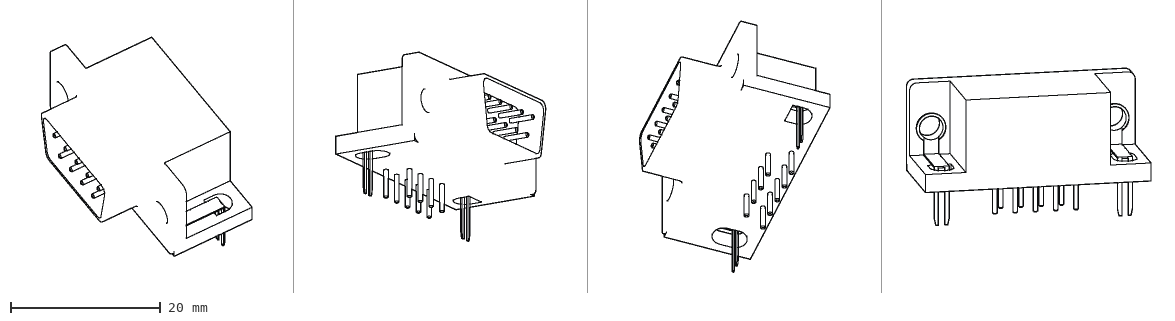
import cadquery as cq
import math


width = 30.8
height = 12.5
depth = 12.6
plate_thickness = 0.3
shoulder_y = 2.22
block_width = 19.75
foot_height = 2.5
corner_radius = 1.0
plate_edge_radius = 0.1

shroud_length = 5.84
shroud_height = 8.3
shroud_mid_width = 15.52
shroud_wall = 0.5
shroud_side_angle = math.radians(10)
shroud_corner_radius = 1.0
shroud_root_radius = 0.62
shroud_tip_radius = 0.07
root_zone_margin = 0.5
cavity_floor_y = -1.97

pin_diameter = 0.64
pin_tip_chamfer = 0.15
pin_pitch = 2.77
row_spacing = 2.84
upper_row_count = 5
lower_row_count = 4
contact_tip_y = -5.6
tail_length = 3.9
tail_embedding = 1.0
tail_to_back = 1.85
upper_row_tail_y = depth - tail_to_back
lower_row_tail_y = upper_row_tail_y - row_spacing

hole_offset = 12.5
hole_diameter = 3.2
eyelet_diameter = 4.0
eyelet_thickness = 0.27
slot_to_back = 1.62
slot_back_y = depth - slot_to_back
slot_straight_length = 1.6
strip_width = 2.04
strip_thickness = 0.2
strip_clearance = 0.18
strip_front_y = shoulder_y + strip_clearance
leg_to_back = 3.14
leg_back_y = depth - leg_to_back
leg_length = 5.4
outer_prong_width = 0.55
prong_gap = 0.87
prong_taper_width = 0.2
prong_taper_height = 0.9

mid_z = height / 2
hole_radius = hole_diameter / 2


def box(x_min, x_max, y_min, y_max, z_min, z_max):
    """Box given by its limits along each axis."""
    size = (x_max - x_min, y_max - y_min, z_max - z_min)
    return cq.Workplane("XY").box(*size, centered=False).translate((x_min, y_min, z_min))


def cylinder_along_y(x, z, diameter, y_min, y_max):
    """Cylinder parallel to Y, at a place in X and Z."""
    plane = cq.Workplane("XZ", origin=(x, y_max, z))
    return plane.circle(diameter / 2).extrude(y_max - y_min)


def make_body():
    """Plastic block with a flange in front and a foot below, L-shaped at both ends."""
    half = width / 2
    flange = box(-half, half, plate_thickness, shoulder_y, 0, height)
    flange = flange.edges("|Y and >Z").fillet(corner_radius)
    foot = box(-half, half, plate_thickness, depth, 0, foot_height)
    block = box(-block_width / 2, block_width / 2, plate_thickness, depth, 0, height)
    return flange.union(foot).union(block)


def make_plate():
    """Thin front plate with rounded corners and a softened front edge."""
    plate = box(-width / 2, width / 2, 0, plate_thickness, 0, height)
    plate = plate.edges("|Y").fillet(corner_radius)
    for side in (-1, 1):
        hole = cylinder_along_y(side * hole_offset, mid_z, hole_diameter, 0, plate_thickness)
        plate = plate.cut(hole)
    return plate.faces("<Y").edges().fillet(plate_edge_radius)


def d_prism(inset, y_min, y_max):
    """D-shaped prism, with its outline moved inwards from the shroud's outer outline."""
    half_height = shroud_height / 2 - inset
    half_mid = shroud_mid_width / 2 - inset / math.cos(shroud_side_angle)
    lean = half_height * math.tan(shroud_side_angle)
    outline = [
        (-half_mid + lean, -half_height),
        (half_mid - lean, -half_height),
        (half_mid + lean, half_height),
        (-half_mid - lean, half_height),
    ]
    prism = cq.Workplane("XZ", origin=(0, y_max, mid_z)).polyline(outline).close()
    return prism.extrude(y_max - y_min).edges("|Y").fillet(shroud_corner_radius)


def make_plate_with_shroud():
    """Front plate and hollow shroud, joined by a flared root."""
    shroud = d_prism(0, -shroud_length, plate_thickness)
    shroud = shroud.faces("<Y").edges().fillet(shroud_tip_radius)
    shell = make_plate().union(shroud)
    half_x = shroud_mid_width / 2 + root_zone_margin
    half_z = shroud_height / 2 + root_zone_margin
    root_zone = cq.selectors.BoxSelector(
        (-half_x, -plate_edge_radius / 2, mid_z - half_z),
        (half_x, plate_edge_radius / 2, mid_z + half_z),
    )
    shell = shell.edges(root_zone).fillet(shroud_root_radius)
    return shell.cut(d_prism(shroud_wall, -shroud_length, cavity_floor_y))


def make_contact(x, z, tail_y):
    """Contact pin in the shroud and the matching tail below the body."""
    pin = cylinder_along_y(x, z, pin_diameter, contact_tip_y, cavity_floor_y)
    pin = pin.faces("<Y").edges().chamfer(pin_tip_chamfer)
    tail = cq.Workplane("XY", origin=(x, tail_y, -tail_length))
    tail = tail.circle(pin_diameter / 2).extrude(tail_length + tail_embedding)
    tail = tail.faces("<Z").edges().chamfer(pin_tip_chamfer)
    return pin, tail


def add_contacts(part):
    """Two staggered rows of contacts."""
    rows = (
        (upper_row_count, mid_z + row_spacing / 2, upper_row_tail_y),
        (lower_row_count, mid_z - row_spacing / 2, lower_row_tail_y),
    )
    for count, z, tail_y in rows:
        for index in range(count):
            x = (index - (count - 1) / 2) * pin_pitch
            for piece in make_contact(x, z, tail_y):
                part = part.union(piece)
    return part


def make_foot_slot(side):
    """Slot down through the foot: round at both ends on the -X side, square in front on the +X side."""
    x = side * hole_offset
    back_center_y = slot_back_y - hole_radius
    front_center_y = back_center_y - slot_straight_length
    slot = box(x - hole_radius, x + hole_radius, front_center_y, back_center_y, 0, foot_height)
    round_ends = [back_center_y]
    if side < 0:
        round_ends.append(front_center_y)
    for y in round_ends:
        round_end = cq.Workplane("XY", origin=(x, y, 0)).circle(hole_radius).extrude(foot_height)
        slot = slot.union(round_end)
    return slot


def make_bracket(side):
    """Bent strip with an eyelet behind the flange and a two-pronged leg through the foot slot."""
    half = strip_width / 2
    strip_top = foot_height + strip_thickness
    leg_front_y = leg_back_y - strip_thickness
    upright = box(-half, half, strip_front_y, strip_front_y + strip_thickness, foot_height, mid_z)
    strip = box(-half, half, strip_front_y, leg_back_y, foot_height, strip_top)
    eyelet = cylinder_along_y(0, mid_z, eyelet_diameter, shoulder_y, shoulder_y + eyelet_thickness)

    leg = box(-half, half, leg_front_y, leg_back_y, -leg_length, strip_top)
    gap_end = half - outer_prong_width
    gap_start = gap_end - prong_gap
    leg = leg.cut(box(gap_start, gap_end, leg_front_y, leg_back_y, -leg_length, foot_height))
    for edge in (-1, 1):
        taper = [
            (edge * half, -leg_length),
            (edge * (half - prong_taper_width), -leg_length),
            (edge * half, -leg_length + prong_taper_height),
        ]
        wedge = cq.Workplane("XZ", origin=(0, leg_back_y, 0)).polyline(taper).close()
        leg = leg.cut(wedge.extrude(strip_thickness))

    bracket = upright.union(strip).union(eyelet).union(leg)
    if side < 0:
        bracket = bracket.mirror("YZ")
    return bracket.translate((side * hole_offset, 0, 0))


result = make_body().union(make_plate_with_shroud())
result = add_contacts(result)
for side in (-1, 1):
    result = result.cut(make_foot_slot(side))
    result = result.union(make_bracket(side))
    screw_hole = cylinder_along_y(side * hole_offset, mid_z, hole_diameter, plate_thickness, leg_back_y)
    result = result.cut(screw_hole)